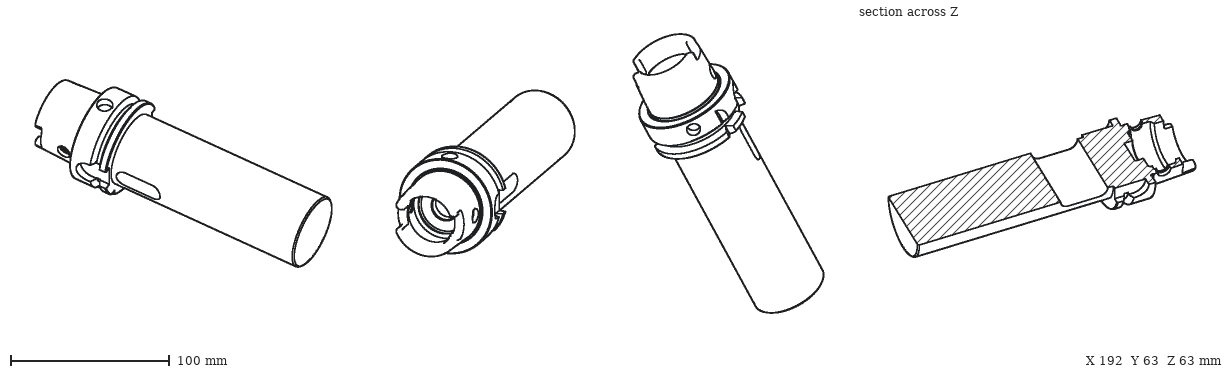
import cadquery as cq
import math


total_length = 192.0
body_diameter = 48.0
body_end_chamfer = 1.0

shank_length = 32.0
shank_base_diameter = 48.4
shank_tip_diameter = 45.7
tip_edge_fillet = 1.2

relief_width = 1.7
relief_depth = 0.29
relief_ramp_length = 0.5
undercut_depth = 0.4
undercut_diameter = 50.7

bore_diameter = 34.0
lip_length = 12.3
recess_diameter = 40.0
recess_taper_length = 1.7
recess_end = 28.5
step_diameter = 31.9
step_taper_length = 1.2
bore_depth = 30.7
pilot_diameter = 16.9
pilot_depth = 5.8
pilot_chamfer = 0.5

flange_diameter = 63.0
flange_end = 58.2
flange_chamfer = 0.5
groove_center = 50.1
groove_floor_diameter = 54.1
groove_floor_width = 2.7
groove_waist_diameter = 56.8
groove_waist_width = 3.5
groove_mouth_width = 7.0

drive_slot_width = 12.0
drive_slot_depth_front = 6.0
drive_slot_depth_back = 10.0
drive_slot_flare_start = 18.0
drive_slot_flare_radius = 2.9
drive_slot_floor_fillet = 1.3

cross_hole_x = 23.2
cross_hole_diameter = 7.5
cross_hole_mouth_diameter = 9.0
cross_hole_mouth_floor = 21.0

key_slot_start = 37.0
key_slot_floor = 26.1
key_slot_width_front = 15.7
key_slot_width_back = 18.0

notch_start = 35.3
notch_width = 16.9
notch_top = 20.2
notch_floor = 19.5

pocket_x = 39.2
pocket_diameter = 10.0
pocket_floor = 25.7

balance_pocket_diameter = 8.5
balance_pocket_offset = 3.3

drift_slot_start = 62.0
drift_slot_end = 94.0
drift_slot_width = 12.3

body_radius = body_diameter / 2
flange_radius = flange_diameter / 2
bore_radius = bore_diameter / 2

select_margin = 0.2


def revolve_about_x(points):
    """Turn a half profile given as (x, radius) points about the X axis."""
    return cq.Workplane("XY").polyline(points).close().revolve(360, (0, 0, 0), (1, 0, 0))


def turned_shank():
    base_radius = shank_base_diameter / 2
    return revolve_about_x([
        (0, 0),
        (0, shank_tip_diameter / 2),
        (shank_length - relief_width, base_radius),
        (shank_length - relief_width + relief_ramp_length, base_radius - relief_depth),
        (shank_length - relief_ramp_length, base_radius - relief_depth),
        (shank_length + undercut_depth, base_radius),
        (shank_length + undercut_depth, 0),
    ])


def bore():
    recess_radius = recess_diameter / 2
    step_radius = step_diameter / 2
    pilot_radius = pilot_diameter / 2
    return revolve_about_x([
        (0, 0),
        (0, bore_radius),
        (lip_length, bore_radius),
        (lip_length + recess_taper_length, recess_radius),
        (recess_end, recess_radius),
        (recess_end, bore_radius),
        (bore_depth - step_taper_length, bore_radius),
        (bore_depth, step_radius),
        (bore_depth, pilot_radius + pilot_chamfer),
        (bore_depth + pilot_chamfer, pilot_radius),
        (bore_depth + pilot_depth, pilot_radius),
        (bore_depth + pilot_depth, 0),
    ])


def flare_point(angle):
    """(Y, Z) point on the upper flare arc, at an angle in degrees from where it leaves the slot wall."""
    turn = math.radians(angle)
    radius = drive_slot_flare_radius
    return (
        drive_slot_flare_start + radius * math.sin(turn),
        drive_slot_width / 2 + radius * (1 - math.cos(turn)),
    )


def drive_slot(side, depth):
    """Slot across the tip wall on the given Y side, flared outward, with rounded floor edges."""
    half_width = drive_slot_width / 2
    mouth_half_width = half_width + 2 * drive_slot_flare_radius
    flare_middle = flare_point(45)
    flare_end = flare_point(90)
    slot = (
        cq.Workplane("YZ")
        .moveTo(0, -half_width)
        .lineTo(0, half_width)
        .lineTo(drive_slot_flare_start, half_width)
        .threePointArc(flare_middle, flare_end)
        .lineTo(flare_end[0], mouth_half_width)
        .lineTo(flange_radius, mouth_half_width)
        .lineTo(flange_radius, -mouth_half_width)
        .lineTo(flare_end[0], -mouth_half_width)
        .lineTo(flare_end[0], -flare_end[1])
        .threePointArc((flare_middle[0], -flare_middle[1]), (drive_slot_flare_start, -half_width))
        .close()
        .extrude(depth)
    )
    floor_sides = cq.selectors.BoxSelector(
        (depth - select_margin, select_margin, select_margin - mouth_half_width),
        (depth + select_margin, flare_end[0] + select_margin, mouth_half_width - select_margin))
    slot = slot.edges(floor_sides).fillet(drive_slot_floor_fillet)
    return slot if side > 0 else slot.mirror("XZ")


def cross_hole():
    hole = cq.Workplane("XZ").center(cross_hole_x, 0)
    through = hole.circle(cross_hole_diameter / 2).extrude(flange_radius, both=True)
    mouths = hole.circle(cross_hole_mouth_diameter / 2).extrude(flange_radius, both=True)
    core = cq.Workplane("YZ").circle(cross_hole_mouth_floor).extrude(shank_length)
    return through.union(mouths.cut(core))


def hollow_shank():
    shank = (
        turned_shank()
        .cut(bore())
        .cut(drive_slot(1, drive_slot_depth_back))
        .cut(drive_slot(-1, drive_slot_depth_front))
    )
    shank = shank.faces("<X").edges().fillet(tip_edge_fillet)
    return shank.cut(cross_hole())


def turned_flange():
    base_radius = shank_base_diameter / 2
    groove_radius = groove_floor_diameter / 2
    waist_radius = groove_waist_diameter / 2
    return revolve_about_x([
        (shank_length + undercut_depth, 0),
        (shank_length + undercut_depth, base_radius),
        (shank_length, undercut_diameter / 2),
        (shank_length, flange_radius - flange_chamfer),
        (shank_length + flange_chamfer, flange_radius),
        (groove_center - groove_mouth_width / 2, flange_radius),
        (groove_center - groove_waist_width / 2, waist_radius),
        (groove_center - groove_floor_width / 2, groove_radius),
        (groove_center + groove_floor_width / 2, groove_radius),
        (groove_center + groove_waist_width / 2, waist_radius),
        (groove_center + groove_mouth_width / 2, flange_radius),
        (flange_end - flange_chamfer, flange_radius),
        (flange_end, flange_radius - flange_chamfer),
        (flange_end, 0),
    ])


def round_ended_slot(start, end, width, center_z=0):
    """Slot outline in the XZ plane, round at both ends, extruded along +Y."""
    return (cq.Workplane("XZ").center((start + end) / 2, center_z)
            .slot2D(end - start, width).extrude(-flange_diameter))


def flange_slot(side, start, width, floor, center_z=0):
    """Flange slot on the given Y side, round at its start and open at the flange end."""
    slot = round_ended_slot(start, flange_end + width, width, center_z).translate((0, floor, 0))
    zone_size = 4 * flange_diameter
    flange_zone = cq.Workplane("YZ").rect(zone_size, zone_size).extrude(flange_end)
    slot = slot.intersect(flange_zone)
    return slot if side > 0 else slot.mirror("XZ")


def pocket(diameter, offset):
    """Blind round pocket opening upward, shifted toward -Y by the offset."""
    return (
        cq.Workplane("XY", origin=(pocket_x, -offset, pocket_floor))
        .circle(diameter / 2)
        .extrude(flange_radius)
    )


def flange():
    notch_center = -notch_top - notch_width / 2
    return (
        turned_flange()
        .cut(flange_slot(1, key_slot_start, key_slot_width_back, key_slot_floor))
        .cut(flange_slot(-1, key_slot_start, key_slot_width_front, key_slot_floor))
        .cut(flange_slot(-1, notch_start, notch_width, notch_floor, notch_center))
        .cut(pocket(pocket_diameter, 0))
        .cut(pocket(balance_pocket_diameter, balance_pocket_offset).mirror("XY"))
    )


def body():
    bar = cq.Workplane("YZ", origin=(flange_end, 0, 0)).circle(body_radius).extrude(total_length - flange_end)
    bar = bar.faces(">X").chamfer(body_end_chamfer)
    drift = round_ended_slot(drift_slot_start, drift_slot_end, drift_slot_width)
    return bar.cut(drift.translate((0, -flange_radius, 0)))


result = flange().union(body()).cut(bore()).union(hollow_shank())